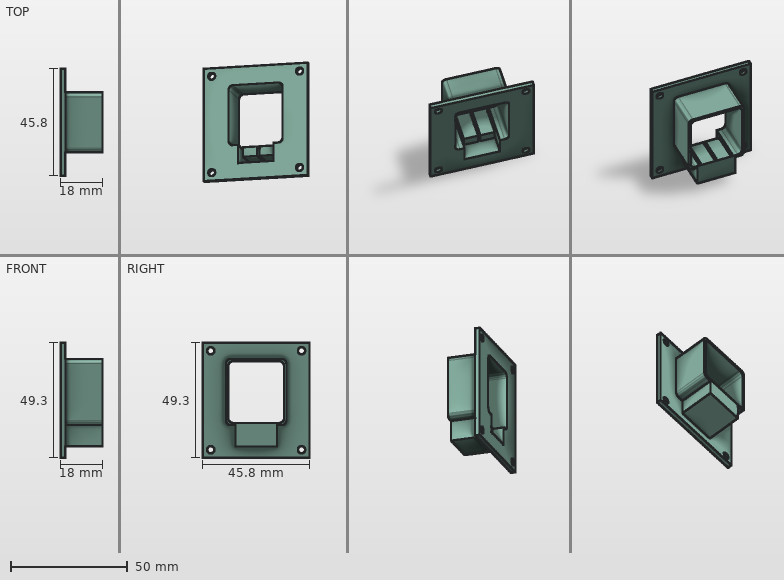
import cadquery as cq

TOTAL_DEPTH = 18.0
PLATE_THICKNESS = 2.0
SIDE_MARGIN = 10.0
TOP_MARGIN = 7.0
BOTTOM_MARGIN = 14.0
SCREW_HOLE_DIAMETER = 3.0
SCREW_HOLE_INSET = 3.5

OPENING_WIDTH = 23.8
OPENING_HEIGHT = 26.3
WALL = 1.0
CORNER_RADIUS = 2.0

TONGUE_COUNT = 2
TONGUE_WIDTH = 6.35
TONGUE_THICKNESS = 4.2
TONGUE_GAP = 1.0
TONGUE_START = 4.8
POCKET_DEPTH = 8.0
POCKET_FLOOR = 2.0

sleeve_width = OPENING_WIDTH + 2 * WALL
sleeve_height = OPENING_HEIGHT + 2 * WALL
plate_width = sleeve_width + 2 * SIDE_MARGIN
plate_height = sleeve_height + TOP_MARGIN + BOTTOM_MARGIN
opening_bottom = -plate_height / 2 + BOTTOM_MARGIN + WALL
sleeve_center = opening_bottom + OPENING_HEIGHT / 2
pocket_bottom = opening_bottom - POCKET_DEPTH
tongue_pitch = TONGUE_WIDTH + TONGUE_GAP
pocket_width = TONGUE_COUNT * tongue_pitch + TONGUE_GAP
pocket_end = TOTAL_DEPTH - WALL


def block(x_start, x_end, width, z_bottom, z_top, y_center=0.0):
    """Box spanning the given X and Z ranges, centred on y_center."""
    size = (x_end - x_start, width, z_top - z_bottom)
    corner = (x_start, y_center - width / 2, z_bottom)
    return cq.Workplane("XY").box(*size, centered=False).translate(corner)


def rounded_prism(width, height):
    """Full-depth prism along X with rounded corners, at the sleeve's height."""
    bottom = sleeve_center - height / 2
    prism = block(0, TOTAL_DEPTH, width, bottom, bottom + height)
    return prism.edges("|X").fillet(CORNER_RADIUS)


def make_plate():
    """Plate with a screw hole near each corner."""
    plate = block(0, PLATE_THICKNESS, plate_width, -plate_height / 2, plate_height / 2)
    hole_spacing_y = plate_width - 2 * SCREW_HOLE_INSET
    hole_spacing_z = plate_height - 2 * SCREW_HOLE_INSET
    holes = (
        cq.Workplane("YZ")
        .rect(hole_spacing_y, hole_spacing_z, forConstruction=True)
        .vertices()
        .circle(SCREW_HOLE_DIAMETER / 2)
        .extrude(PLATE_THICKNESS)
    )
    return plate.cut(holes)


def make_pocket_housing():
    """Solid block below the sleeve that encloses the pocket."""
    housing_width = pocket_width + 2 * WALL
    return block(0, TOTAL_DEPTH, housing_width, pocket_bottom - POCKET_FLOOR, opening_bottom)


def make_tongues():
    """Tongues side by side, flush with the bottom of the opening."""
    tongues = cq.Workplane("XY")
    for index in range(TONGUE_COUNT):
        y_center = (index - (TONGUE_COUNT - 1) / 2) * tongue_pitch
        tongue = block(
            TONGUE_START,
            pocket_end,
            TONGUE_WIDTH,
            opening_bottom - TONGUE_THICKNESS,
            opening_bottom,
            y_center,
        )
        tongues = tongues.add(tongue)
    return tongues.combine()


opening = rounded_prism(OPENING_WIDTH, OPENING_HEIGHT)
pocket = block(0, pocket_end, pocket_width, pocket_bottom, opening_bottom)

body = make_plate().union(rounded_prism(sleeve_width, sleeve_height)).union(make_pocket_housing())
result = body.cut(opening).cut(pocket).union(make_tongues())